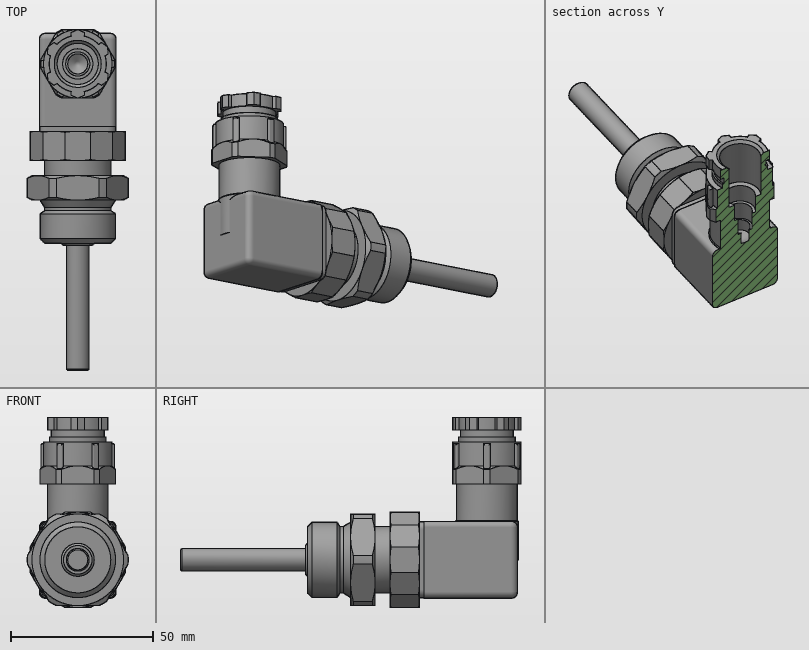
import cadquery as cq
import math


hexagon_sides = 6

housing_width = 27.0
housing_back = 10.8
housing_fillet = 2.2
collar_length = 1.7
collar_inset = 0.1
collar_corner = 2.8
neck_diameter = 21.4
neck_top = 26.5
neck_root = 0.4

union_nut_start = -23.7
union_nut_end = -34.0
thread_hex_start = -39.2
thread_hex_end = -47.8
thread_end = -63.0

union_nut_flats = 33.5
union_nut_bevel = 0.4
union_nut_clearance = 0.5
union_nut_clearance_depth = 1.8

shank_diameter = 23.5
thread_hex_flats = 32.2
thread_hex_corners = 35.5
thread_hex_bevel_angle = 30.0
thread_diameter = 26.5
relief_start = -50.4
relief_end = -51.5
thread_start = -52.6
thread_end_chamfer = 1.7

overall_length = 119.6
seat_base_diameter = 11.6
seat_diameter = 10.0
seat_length = 0.7
probe_diameter = 8.0
probe_chamfer = 0.5

gland_hex_top = 33.0
gland_sleeve_top = 41.4
flange_top = 43.2
cap_bottom = 45.6
cap_top = 50.0

gland_hex_flats = 24.0
gland_hex_corners = 26.5
flange_diameter = 20.0
cap_neck_diameter = 18.7
rib_count = 6
rib_width = 2.4
rib_reach = 12.9
rib_bottom = 29.9
rib_top = 40.8
rib_fillet = 0.5
cap_notch_diameter = 20.1
cap_lobe_count = 6
cap_lobe_width = 4.7
cap_lobe_shoulder = 11.0

bore_steps = [(14.5, 31.1), (10.6, 23.9), (8.5, 16.7), (7.0, 12.0)]
bore_mouth_diameter = 16.5
drill_point_angle = 118.0

probe_tip = gland_hex_flats / 2 - overall_length


def cylinder(diameter, bottom, top):
    """Cylinder on the Z axis between two heights."""
    return cq.Workplane("XY").workplane(offset=bottom).circle(diameter / 2).extrude(top - bottom)


def prism(sides, across_flats, bottom, top, turn=0):
    """Regular prism on the Z axis; at zero turn one corner lies on +X."""
    corner_diameter = across_flats / math.cos(math.pi / sides)
    outline = cq.Workplane("XY").workplane(offset=bottom).polygon(sides, corner_diameter)
    return outline.extrude(top - bottom).rotate((0, 0, 0), (0, 0, 1), turn)


def turned(profile, plane):
    """Revolve (radius, position) points about the Y axis ("XY") or the Z axis ("XZ")."""
    return cq.Workplane(plane).polyline(profile).close().revolve(360, (0, 0, 0), (0, 1, 0))


def bevelled_nut(sides, across_flats, across_corners, start, end, turn, bevel):
    """Nut on the probe axis whose corners are bevelled conically on both faces."""
    face_radius = across_flats / 2
    corner_radius = across_corners / 2
    blank = turned(
        [
            (0, start),
            (face_radius, start),
            (corner_radius, start - bevel),
            (corner_radius, end + bevel),
            (face_radius, end),
            (0, end),
        ],
        "XY",
    )
    nut = prism(sides, across_flats, -start, -end, turn).rotate((0, 0, 0), (1, 0, 0), 90)
    return nut.intersect(blank)


def housing():
    """Square housing with rounded edges, a narrow collar at the nut and the upright neck."""
    collar_start = union_nut_start + collar_length
    length = housing_back - collar_start
    collar_width = housing_width - 2 * collar_inset
    block = (
        cq.Workplane("XY")
        .box(housing_width, length, housing_width)
        .translate((0, housing_back - length / 2, 0))
        .edges("|Y or >Y")
        .fillet(housing_fillet)
    )
    collar = (
        cq.Workplane("XY")
        .box(collar_width, collar_length, collar_width)
        .translate((0, collar_start - collar_length / 2, 0))
        .edges("|Y")
        .fillet(collar_corner)
    )
    neck = cylinder(neck_diameter, 0, neck_top)
    root = turned(
        [
            (0, 0),
            (neck_diameter / 2 + neck_root, 0),
            (neck_diameter / 2 + neck_root, housing_width / 2),
            (neck_diameter / 2, housing_width / 2 + neck_root),
            (0, housing_width / 2 + neck_root),
        ],
        "XZ",
    )
    return block.union(collar).union(neck).union(root)


def screw_in_body():
    """Shank, thread relief and thread, turned as one profile."""
    shank_radius = shank_diameter / 2
    thread_radius = thread_diameter / 2
    return turned(
        [
            (0, union_nut_start),
            (shank_radius, union_nut_start),
            (shank_radius, thread_hex_start),
            (thread_radius, thread_hex_start),
            (thread_radius, thread_hex_end),
            (shank_radius, relief_start),
            (shank_radius, relief_end),
            (thread_radius, thread_start),
            (thread_radius, thread_end + thread_end_chamfer),
            (thread_radius - thread_end_chamfer, thread_end),
            (0, thread_end),
        ],
        "XY",
    )


def probe():
    """Conical seat and the probe rod with a chamfered tip."""
    rod_radius = probe_diameter / 2
    seat_end = thread_end - seat_length
    return turned(
        [
            (0, thread_end),
            (seat_base_diameter / 2, thread_end),
            (seat_diameter / 2, seat_end),
            (rod_radius, seat_end),
            (rod_radius, probe_tip + probe_chamfer),
            (rod_radius - probe_chamfer, probe_tip),
            (0, probe_tip),
        ],
        "XY",
    )


def gland_body():
    """Hexagon bevelled on top, round sleeve and ribs above its corners."""
    flat_radius = gland_hex_flats / 2
    corner_radius = gland_hex_corners / 2
    blank = turned(
        [
            (0, neck_top),
            (corner_radius, neck_top),
            (corner_radius, gland_hex_top - (corner_radius - flat_radius)),
            (flat_radius, gland_hex_top),
            (0, gland_hex_top),
        ],
        "XZ",
    )
    body = prism(hexagon_sides, gland_hex_flats, neck_top, gland_hex_top).intersect(blank)
    body = body.union(cylinder(gland_hex_flats, gland_hex_top, gland_sleeve_top))
    rib = (
        cq.Workplane("XY")
        .box(rib_reach, rib_width, rib_top - rib_bottom, centered=(False, True, False))
        .translate((0, 0, rib_bottom))
        .faces(">X")
        .edges("|Z or >Z")
        .fillet(rib_fillet)
    )
    for index in range(rib_count):
        body = body.union(rib.rotate((0, 0, 0), (0, 0, 1), index * 360 / rib_count))
    return body


def gland_cap():
    """Six-lobed clamping cap on its stepped neck."""
    height = cap_top - cap_bottom
    cap = cylinder(cap_notch_diameter, cap_bottom, cap_top)
    half_width = cap_lobe_width / 2
    lobe = (
        cq.Workplane("XY")
        .workplane(offset=cap_bottom)
        .polyline(
            [
                (0, -half_width),
                (cap_lobe_shoulder, -half_width),
                (gland_hex_flats / 2, 0),
                (cap_lobe_shoulder, half_width),
                (0, half_width),
            ]
        )
        .close()
        .extrude(height)
    )
    for index in range(cap_lobe_count):
        angle = (index + 0.5) * 360 / cap_lobe_count
        cap = cap.union(lobe.rotate((0, 0, 0), (0, 0, 1), angle))
    flange = cylinder(flange_diameter, gland_sleeve_top, flange_top)
    neck = cylinder(cap_neck_diameter, flange_top, cap_bottom)
    return cap.union(flange).union(neck)


def cable_bore():
    """Stepped bore with a chamfered mouth and a drill point at its floor."""
    bore_radius = bore_steps[0][0] / 2
    mouth_radius = bore_mouth_diameter / 2
    profile = [
        (0, cap_top),
        (mouth_radius, cap_top),
        (bore_radius, cap_top - (mouth_radius - bore_radius)),
    ]
    for diameter, floor in bore_steps:
        if diameter / 2 < bore_radius:
            profile.append((diameter / 2, profile[-1][1]))
        profile.append((diameter / 2, floor))
    tip_radius, tip_base = profile[-1]
    profile.append((0, tip_base - tip_radius / math.tan(math.radians(drill_point_angle / 2))))
    return turned(profile, "XZ")


union_nut_sides = 12
union_nut_corners = union_nut_flats / math.cos(math.pi / union_nut_sides)
union_nut = bevelled_nut(
    sides=union_nut_sides,
    across_flats=union_nut_flats,
    across_corners=union_nut_corners,
    start=union_nut_start,
    end=union_nut_end,
    turn=180 / union_nut_sides,
    bevel=union_nut_bevel,
)
clearance_radius = shank_diameter / 2 + union_nut_clearance
clearance = turned(
    [
        (0, union_nut_end),
        (clearance_radius, union_nut_end),
        (clearance_radius, union_nut_end + union_nut_clearance_depth),
        (0, union_nut_end + union_nut_clearance_depth),
    ],
    "XY",
)
union_nut = union_nut.cut(clearance)

thread_hex_bevel = (
    (thread_hex_corners - thread_hex_flats) / 2 * math.tan(math.radians(thread_hex_bevel_angle))
)
thread_hex = bevelled_nut(
    sides=hexagon_sides,
    across_flats=thread_hex_flats,
    across_corners=thread_hex_corners,
    start=thread_hex_start,
    end=thread_hex_end,
    turn=0,
    bevel=thread_hex_bevel,
)

result = (
    housing()
    .union(union_nut)
    .union(screw_in_body())
    .union(thread_hex)
    .union(probe())
    .union(gland_body())
    .union(gland_cap())
    .cut(cable_bore())
)